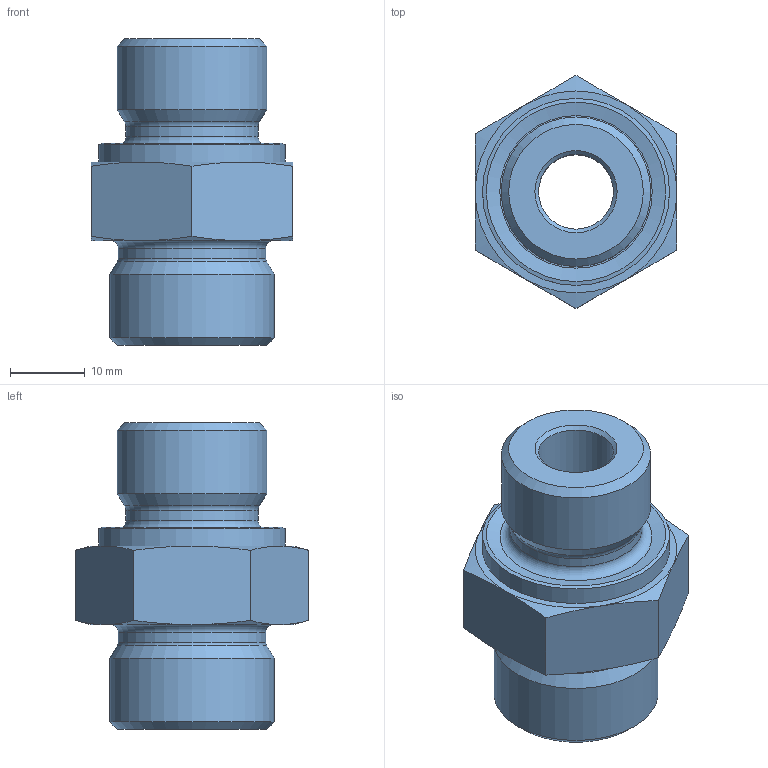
import cadquery as cq
import math

total_length = 41.0
bore_diameter = 10.0
bore_mouth_diameter = 11.0

hex_across_flats = 27.0
hex_bottom = 14.0
hex_height = 10.5
hex_chamfer_angle = 15.0

collar_diameter = 25.0
collar_height = 2.5
collar_rim_diameter = 24.0
collar_rim_drop = 0.13

lower_stud_diameter = 22.0
lower_neck_diameter = 19.7
lower_root_radius = 1.05
lower_taper_blend_radius = 0.7
upper_stud_diameter = 20.0
upper_neck_diameter = 17.7
upper_root_start_height = 0.95
upper_root_radius = 1.35
upper_taper_blend_radius = 1.3
stud_length = 9.5
stud_chamfer = 1.0
taper_angle = 31.0

hex_top = hex_bottom + hex_height
hex_corner_radius = hex_across_flats / 2 / math.cos(math.radians(30))
hex_chamfer_drop = (hex_corner_radius - hex_across_flats / 2) * math.tan(math.radians(hex_chamfer_angle))
collar_top = hex_top + collar_height


def stud_profile(stud_diameter, neck_diameter, blend_radius):
    """Key (radius, distance from the stud's free end) points of a stud, from its end face to its neck."""
    stud_radius = stud_diameter / 2
    neck_radius = neck_diameter / 2
    angle = math.radians(taper_angle)
    taper_length = (stud_radius - neck_radius) / math.tan(angle)
    corner = stud_length + taper_length
    tangent_length = blend_radius * math.tan(angle / 2)
    blend_centre_radius = neck_radius + blend_radius
    blend_end = corner + tangent_length
    return {
        "face": (stud_radius - stud_chamfer, 0),
        "chamfer": (stud_radius, stud_chamfer),
        "shoulder": (stud_radius, stud_length),
        "blend_start": (
            neck_radius + tangent_length * math.sin(angle),
            corner - tangent_length * math.cos(angle),
        ),
        "blend_middle": (
            blend_centre_radius - blend_radius * math.cos(angle / 2),
            blend_end - blend_radius * math.sin(angle / 2),
        ),
        "blend_end": (neck_radius, blend_end),
    }


def quarter_arc_middle(neck_radius, radius, level, side):
    """Middle of a root fillet that starts on the neck at the given level; side is +1 upward, -1 downward."""
    diagonal = radius * math.sqrt(0.5)
    return (neck_radius + radius - diagonal, level + side * diagonal)


def make_lower_stud():
    points = stud_profile(lower_stud_diameter, lower_neck_diameter, lower_taper_blend_radius)
    neck_radius = lower_neck_diameter / 2
    root_start = hex_bottom - lower_root_radius
    return (
        cq.Workplane("XZ")
        .lineTo(*points["face"])
        .lineTo(*points["chamfer"])
        .lineTo(*points["shoulder"])
        .lineTo(*points["blend_start"])
        .threePointArc(points["blend_middle"], points["blend_end"])
        .lineTo(neck_radius, root_start)
        .threePointArc(
            quarter_arc_middle(neck_radius, lower_root_radius, root_start, 1),
            (neck_radius + lower_root_radius, hex_bottom),
        )
        .lineTo(0, hex_bottom)
        .close()
        .revolve(360, (0, 0), (0, 1))
    )


def make_upper_stud_and_collar():
    distances = stud_profile(upper_stud_diameter, upper_neck_diameter, upper_taper_blend_radius)
    points = {name: (radius, total_length - distance) for name, (radius, distance) in distances.items()}
    neck_radius = upper_neck_diameter / 2
    root_start = collar_top + upper_root_start_height
    return (
        cq.Workplane("XZ")
        .moveTo(0, total_length)
        .lineTo(*points["face"])
        .lineTo(*points["chamfer"])
        .lineTo(*points["shoulder"])
        .lineTo(*points["blend_start"])
        .threePointArc(points["blend_middle"], points["blend_end"])
        .lineTo(neck_radius, root_start)
        .threePointArc(
            quarter_arc_middle(neck_radius, upper_root_radius, root_start, -1),
            (neck_radius + upper_root_radius, root_start - upper_root_radius),
        )
        .lineTo(collar_rim_diameter / 2, collar_top)
        .lineTo(collar_diameter / 2, collar_top - collar_rim_drop)
        .lineTo(collar_diameter / 2, hex_top)
        .lineTo(0, hex_top)
        .close()
        .revolve(360, (0, 0), (0, 1))
    )


def make_hexagon():
    """Hexagonal prism whose corners are turned off conically at both ends."""
    prism = (
        cq.Workplane("XY")
        .workplane(offset=hex_bottom)
        .polygon(6, 2 * hex_corner_radius)
        .extrude(hex_height)
        .rotate((0, 0, 0), (0, 0, 1), 30)
    )
    face_radius = hex_across_flats / 2
    turned_envelope = (
        cq.Workplane("XZ")
        .moveTo(0, hex_bottom)
        .lineTo(face_radius, hex_bottom)
        .lineTo(hex_corner_radius, hex_bottom + hex_chamfer_drop)
        .lineTo(hex_corner_radius, hex_top - hex_chamfer_drop)
        .lineTo(face_radius, hex_top)
        .lineTo(0, hex_top)
        .close()
        .revolve(360, (0, 0), (0, 1))
    )
    return prism.intersect(turned_envelope)


def make_bore():
    """Through bore with a 45 degree chamfer at its upper mouth."""
    bore_radius = bore_diameter / 2
    mouth_radius = bore_mouth_diameter / 2
    chamfer_depth = mouth_radius - bore_radius
    return (
        cq.Workplane("XZ")
        .lineTo(bore_radius, 0)
        .lineTo(bore_radius, total_length - chamfer_depth)
        .lineTo(mouth_radius, total_length)
        .lineTo(0, total_length)
        .close()
        .revolve(360, (0, 0), (0, 1))
    )


body = make_hexagon().union(make_lower_stud()).union(make_upper_stud_and_collar())
result = body.cut(make_bore())